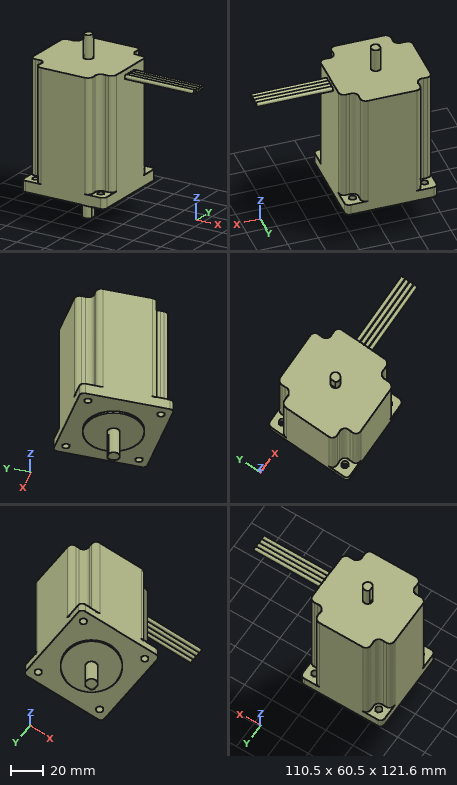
import cadquery as cq
import math

width = 60.5
body_height = 85.0
plate_thickness = 7.5
plate_corner_radius = 3.0

hole_pitch = 47.2
hole_diameter = 4.5
notch_wall_offset = 3.9
notch_radius = 3.8
notch_centre_shift = 0.2
notch_lip_radius = 3.6

boss_diameter = 38.2
boss_height = 1.5
lower_shaft_diameter = 8.0
lower_shaft_length = 20.5
lower_flat_depth = 0.5
lower_flat_gap = 4.1
upper_shaft_diameter = 6.3
upper_shaft_length = 121.6 - body_height - lower_shaft_length
upper_flat_depth = 0.5
upper_flat_gap = 1.1

wire_count = 4
wire_diameter = 3.0
wire_pitch = 3.2
wire_drop = 5.0
wire_length = 110.5 - width
wire_embed = 1.2

half_width = width / 2
half_pitch = hole_pitch / 2
corner_signs = [(1, 1), (-1, 1), (-1, -1), (1, -1)]


def cylinder(diameter, bottom, top):
    """Cylinder on the motor axis between two heights."""
    return cq.Workplane("XY").workplane(offset=bottom).circle(diameter / 2).extrude(top - bottom)


def block(x_min, x_max, y_min, y_max, z_min, z_max):
    """Box given by its limits."""
    size = (x_max - x_min, y_max - y_min, z_max - z_min)
    return cq.Workplane("XY").box(*size, centered=False).translate((x_min, y_min, z_min))


def make_notch(x_sign, y_sign):
    """Corner cutter above the plate, with a round inner corner and flared mouths."""
    wall = half_pitch - notch_wall_offset
    lip_start = wall - notch_lip_radius
    lip_end = half_width - notch_lip_radius
    lip_mid = lip_start + notch_lip_radius * math.sqrt(0.5)
    lip_mid_out = lip_end + notch_lip_radius * math.sqrt(0.5)
    centre = half_pitch - notch_centre_shift
    arc_start = centre + math.sqrt(notch_radius**2 - (centre - wall)**2)
    arc_mid = centre - notch_radius * math.sqrt(0.5)
    outside = half_width + 1.2

    def point(x, y):
        return x_sign * x, y_sign * y

    return (
        cq.Workplane("XY").workplane(offset=plate_thickness)
        .moveTo(*point(outside, outside))
        .lineTo(*point(lip_start, outside))
        .lineTo(*point(lip_start, half_width))
        .threePointArc(point(lip_mid, lip_mid_out), point(wall, lip_end))
        .lineTo(*point(wall, arc_start))
        .threePointArc(point(arc_mid, arc_mid), point(arc_start, wall))
        .lineTo(*point(lip_end, wall))
        .threePointArc(point(lip_mid_out, lip_mid), point(half_width, lip_start))
        .lineTo(*point(outside, lip_start))
        .close()
        .extrude(body_height - plate_thickness)
    )


def make_housing():
    """Square body with notched corners, leaving a full square plate at the bottom."""
    housing = cq.Workplane("XY").rect(width, width).extrude(body_height)
    housing = housing.edges("|Z").fillet(plate_corner_radius)
    for x_sign, y_sign in corner_signs:
        housing = housing.cut(make_notch(x_sign, y_sign))
    holes = (
        cq.Workplane("XY").rect(hole_pitch, hole_pitch, forConstruction=True).vertices()
        .circle(hole_diameter / 2).extrude(plate_thickness)
    )
    return housing.cut(holes).union(cylinder(boss_diameter, -boss_height, plate_thickness))


def make_upper_shaft():
    """Rear shaft with one flat facing -X."""
    radius = upper_shaft_diameter / 2
    top = body_height + upper_shaft_length
    flat = block(
        -radius, upper_flat_depth - radius, -radius, radius, body_height + upper_flat_gap, top
    )
    return cylinder(upper_shaft_diameter, body_height - plate_thickness, top).cut(flat)


def make_lower_shaft():
    """Output shaft with two flats, facing +X and +Y."""
    radius = lower_shaft_diameter / 2
    flat_top = -boss_height - lower_flat_gap
    flat_face = radius - lower_flat_depth
    flat_x = block(flat_face, radius, -radius, radius, -lower_shaft_length, flat_top)
    flat_y = block(-radius, radius, flat_face, radius, -lower_shaft_length, flat_top)
    return cylinder(lower_shaft_diameter, -lower_shaft_length, plate_thickness).cut(flat_x).cut(flat_y)


def make_wire(index):
    """One straight lead leaving the +X face."""
    y = (index - (wire_count - 1) / 2) * wire_pitch
    return (
        cq.Workplane("YZ").workplane(offset=half_width - wire_embed)
        .center(y, body_height - wire_drop)
        .circle(wire_diameter / 2).extrude(wire_length + wire_embed)
    )


result = make_housing().union(make_upper_shaft()).union(make_lower_shaft())
for wire_index in range(wire_count):
    result = result.union(make_wire(wire_index))